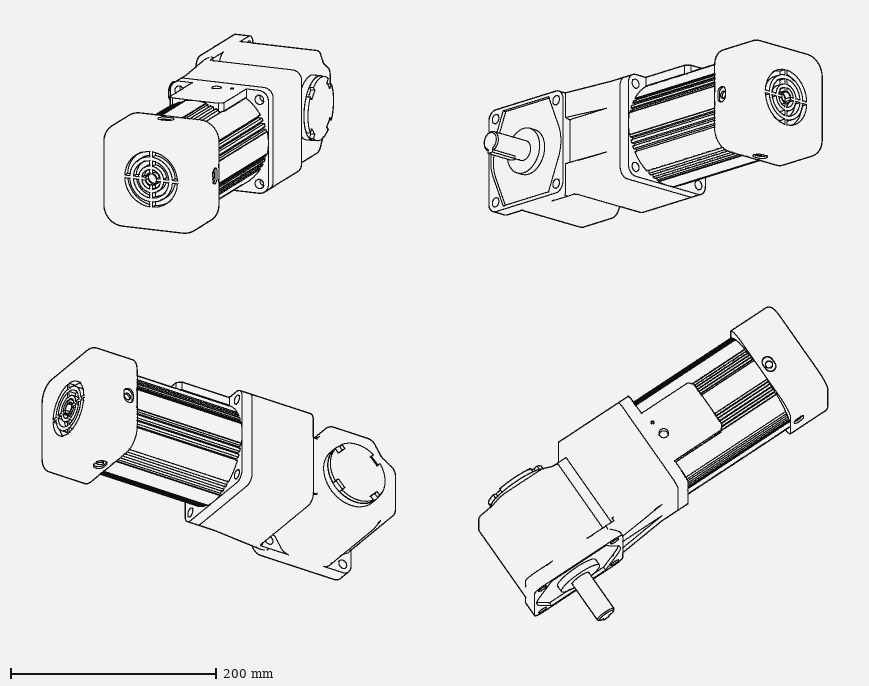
import cadquery as cq
import math


overall_length = 354.0
frame_width = 104.0
frame_half = frame_width / 2
frame_corner_radius = 10.0
screw_offset = 42.5
screw_hole_radius = 4.5

flange_face_x = -61.0
flange_back_x = -45.3
head_rear_x = 37.5
head_edge_fillet = 2.5
head_scoop_start = (33.5, 39.3)
web_half_height = 32.0
block_end_y = -123.2
gusset_end_y = -104.0
gusset_start_x = -57.5
gusset_inner_z = 23.7
gusset_foot_z = 22.3
block_edge_fillet = 1.8
face_recess_depth = 3.5
boss_radius = 22.5
boss_face_x = -64.0
rear_cap_radius = 32.0
rear_cap_step_radius = 31.5
rear_cap_step_x = 45.0
rear_cap_end_x = 49.2
cap_notch_width = 10.5
cap_notch_depth = 5.3
cap_notch_turn = 45

shaft_radius = 10.0
shaft_tip_x = -109.0
shaft_seat_x = flange_back_x
shaft_chamfer = 1.5
key_width = 6.5
key_reach = 12.0
key_end_x = -76.8
key_end_fillet = 3.0

motor_flange_end_y = -135.0
barrel_radius = 51.5
barrel_end_y = -255.5
plate_half_width = 28.5
plate_thickness = 9.0
plate_end_y = -193.5
plate_chamfer = 4.2
cable_hole_radius = 4.5
cable_hole_y = -141.5
pin_hole_radius = 1.5
pin_hole_x = 15.2
pin_hole_y = -138.8
pin_hole_depth = 3.5
groove_offsets = (15.0, 20.5, 26.0)
groove_width = 3.0
groove_depth = 2.0
land_radius = frame_half
land_half_width = 11.5

cover_end_y = frame_half - overall_length
cover_corner_radius = 20.2
cover_edge_fillet = 5.3
grille_rings = ((6.5, 10.0), (13.5, 18.8), (22.5, 28.0))
grille_spoke_width = 3.0
grille_depth = 7.0
hub_recess_radius = 5.5
screw_recess_y = -265.5
screw_recess_length = 15.5
screw_recess_width = 10.5
screw_recess_depth = 2.0
screw_socket_radius = 3.5
screw_socket_depth = 4.2

side_angles = (0, 90, 180, 270)


def box(x_range, y_range, z_range):
    """Rectangular block between the given limits."""
    size = [high - low for low, high in (x_range, y_range, z_range)]
    return cq.Workplane("XY").box(*size, centered=False).translate((x_range[0], y_range[0], z_range[0]))


def x_cylinder(radius, x_start, x_end, y=0, z=0):
    """Round bar along X."""
    return cq.Workplane("YZ", origin=(x_start, y, z)).circle(radius).extrude(x_end - x_start)


def y_plane(y):
    """Workplane facing -Y: its local x is X and its local y is Z."""
    return cq.Workplane("XZ", origin=(0, y, 0))


def square_length(y_start, y_end, corner_radius):
    """Length of the square frame along Y with rounded long edges."""
    bar = y_plane(y_start).rect(frame_width, frame_width).extrude(y_start - y_end)
    return bar.edges("|Y").fillet(corner_radius)


def screw_points():
    """Corner screw positions on the square frame."""
    return [(u, v) for u in (-screw_offset, screw_offset) for v in (-screw_offset, screw_offset)]


def output_flange():
    """Square plate with rounded corners."""
    plate = cq.Workplane("YZ", origin=(flange_face_x, 0, 0)).rect(frame_width, frame_width)
    return plate.extrude(flange_back_x - flange_face_x).edges("|X").fillet(frame_corner_radius)


def gear_head():
    """Cross-shaped prism behind the flange, scooped at its corners to clear the flange screws."""
    flat_end = (20.2, frame_half)
    shoulder_mid = (26.0, 50.0)
    shoulder_end = (29.7, 45.0)
    scoop_radius = math.dist(head_scoop_start, (screw_offset, screw_offset))
    scoop_depth = screw_offset - scoop_radius / math.sqrt(2)

    def place(point, sign_y, sign_z):
        return sign_y * point[0], sign_z * point[1]

    def swap(point):
        return point[1], point[0]

    corner = [
        flat_end, shoulder_mid, shoulder_end, head_scoop_start, (scoop_depth, scoop_depth),
        swap(head_scoop_start), swap(shoulder_end), swap(shoulder_mid), swap(flat_end),
    ]
    profile = cq.Workplane("YZ", origin=(flange_back_x, 0, 0)).moveTo(*flat_end)
    for sign_y, sign_z in ((1, 1), (1, -1), (-1, -1), (-1, 1)):
        ordered = corner if sign_y == sign_z else corner[::-1]
        points = [place(point, sign_y, sign_z) for point in ordered]
        if (sign_y, sign_z) != (1, 1):
            profile = profile.lineTo(*points[0])
        profile = profile.threePointArc(points[1], points[2]).lineTo(*points[3])
        profile = profile.threePointArc(points[4], points[5]).lineTo(*points[6])
        profile = profile.threePointArc(points[7], points[8])
    head = profile.close().extrude(head_rear_x - flange_back_x)
    return head.faces(">X").edges().fillet(head_edge_fillet)


def gussets():
    """Two tapered ribs running from the flange corners down to the face of the square block."""
    slope = (-frame_half - gusset_start_x) / (-frame_half - gusset_end_y)
    root_y = -screw_offset
    inner_x = frame_corner_radius - frame_half
    root_x = gusset_start_x - slope * (root_y + frame_half)
    outline = [
        (flange_back_x, root_y),
        (root_x, root_y),
        (-frame_half, gusset_end_y),
        (inner_x, gusset_end_y),
        (inner_x, -frame_half),
        (flange_back_x, -frame_half),
    ]
    wedge = cq.Workplane("XY").polyline(outline).close().extrude(frame_half, both=True)
    wedge = wedge.faces("<X").edges("not |Z").fillet(frame_corner_radius)

    channel_section = [
        (0, -gusset_foot_z),
        (-frame_half, -gusset_foot_z),
        (root_x, -gusset_inner_z),
        (root_x, gusset_inner_z),
        (-frame_half, gusset_foot_z),
        (0, gusset_foot_z),
    ]
    channel = y_plane(root_y).polyline(channel_section).close().extrude(root_y - gusset_end_y)
    return wedge.cut(channel)


def square_block():
    """Square block between the gear head and the motor, with a small round on its front edge."""
    block = square_length(-frame_half, block_end_y, frame_corner_radius)
    return block.faces(">Y").edges().fillet(block_edge_fillet)


def block_web():
    """Web filling the gap between the gear head's scooped corners and the square block."""
    return box(
        (flange_back_x, head_rear_x),
        (-frame_half - block_edge_fillet, -head_scoop_start[1]),
        (-web_half_height, web_half_height),
    )


def face_recess():
    """Shallow barrel-shaped recess in the flange face."""
    corner = (32.0, 48.5)
    arc_end = (46.5, 15.0)
    bulge = 49.2
    profile = (
        cq.Workplane("YZ", origin=(flange_face_x, 0, 0))
        .moveTo(-corner[0], corner[1])
        .lineTo(*corner)
        .lineTo(*arc_end)
        .threePointArc((bulge, 0), (arc_end[0], -arc_end[1]))
        .lineTo(corner[0], -corner[1])
        .lineTo(-corner[0], -corner[1])
        .lineTo(-arc_end[0], -arc_end[1])
        .threePointArc((-bulge, 0), (-arc_end[0], arc_end[1]))
        .close()
    )
    return profile.extrude(face_recess_depth)


def rear_cap():
    """Stepped round cap on the rear of the gearbox, with four spanner notches in its rim."""
    cap = x_cylinder(rear_cap_radius, head_rear_x, rear_cap_step_x)
    cap = cap.union(x_cylinder(rear_cap_step_radius, rear_cap_step_x, rear_cap_end_x))
    notch = box(
        (rear_cap_step_x, rear_cap_end_x),
        (rear_cap_step_radius - cap_notch_depth, rear_cap_radius),
        (-cap_notch_width / 2, cap_notch_width / 2),
    )
    for angle in side_angles:
        cap = cap.cut(notch.rotate((0, 0, 0), (1, 0, 0), angle + cap_notch_turn))
    return cap


def build_gearbox():
    body = output_flange().cut(face_recess())
    body = body.union(gear_head())
    body = body.union(square_block()).union(block_web())
    body = body.union(gussets())
    body = body.union(x_cylinder(boss_radius, boss_face_x, flange_back_x))
    body = body.union(rear_cap())
    for y, z in screw_points():
        body = body.cut(x_cylinder(screw_hole_radius, flange_face_x, flange_back_x, y, z))
    return body.cut(x_cylinder(shaft_radius, boss_face_x, shaft_seat_x))


def build_shaft():
    shaft = x_cylinder(shaft_radius, shaft_tip_x, shaft_seat_x).faces("<X").chamfer(shaft_chamfer)
    key = box((shaft_tip_x, key_end_x), (-key_width / 2, key_width / 2), (-key_reach, 0))
    key = key.edges("|Z and >X").fillet(key_end_fillet)
    return shaft.union(key)


def cooling_groove(offset):
    """Groove along the top of the barrel, cut to a fixed depth below the round surface."""
    outer_edge = abs(offset) + groove_width / 2
    floor = math.sqrt(barrel_radius**2 - outer_edge**2) - groove_depth
    return box(
        (offset - groove_width / 2, offset + groove_width / 2),
        (barrel_end_y, motor_flange_end_y),
        (floor, barrel_radius),
    )


def barrel():
    """Round barrel; each of its four sides has a raised land between two groups of grooves."""
    length = motor_flange_end_y - barrel_end_y
    body = y_plane(motor_flange_end_y).circle(barrel_radius).extrude(length)
    land_stock = y_plane(motor_flange_end_y).circle(land_radius).extrude(length)
    land = land_stock.intersect(
        box((-land_half_width, land_half_width), (barrel_end_y, motor_flange_end_y), (0, land_radius))
    )
    for angle in side_angles:
        body = body.union(land.rotate((0, 0, 0), (0, 1, 0), angle))
        for offset in groove_offsets:
            for side in (-1, 1):
                body = body.cut(cooling_groove(side * offset).rotate((0, 0, 0), (0, 1, 0), angle))
    return body


def terminal_plate():
    """Flat plate flush with the top of the flange, carrying the cable hole and a pin hole."""
    plate = box(
        (-plate_half_width, plate_half_width),
        (plate_end_y, motor_flange_end_y),
        (frame_half - plate_thickness, frame_half),
    )
    return plate.edges("|Z and <Y").chamfer(plate_chamfer)


def down_hole(x, y, radius, depth):
    """Round hole tool going down from the top of the frame."""
    return cq.Workplane("XY", origin=(x, y, frame_half)).circle(radius).extrude(-depth)


def build_motor():
    body = square_length(block_end_y, motor_flange_end_y, frame_corner_radius)
    screw_holes = y_plane(block_end_y).pushPoints(screw_points()).circle(screw_hole_radius)
    body = body.cut(screw_holes.extrude(block_end_y - motor_flange_end_y))
    body = body.union(barrel()).union(terminal_plate())
    body = body.cut(down_hole(0, cable_hole_y, cable_hole_radius, plate_thickness))
    return body.cut(down_hole(pin_hole_x, pin_hole_y, pin_hole_radius, pin_hole_depth))


def grille():
    """Ring grooves split by four spokes, around a small hub recess."""
    start_y = cover_end_y + grille_depth
    rings = y_plane(start_y).circle(hub_recess_radius).extrude(grille_depth)
    half_spoke = grille_spoke_width / 2
    for inner, outer in grille_rings:
        ring = y_plane(start_y).circle(outer).circle(inner).extrude(grille_depth)
        ring = ring.cut(box((-outer, outer), (cover_end_y, start_y), (-half_spoke, half_spoke)))
        ring = ring.cut(box((-half_spoke, half_spoke), (cover_end_y, start_y), (-outer, outer)))
        rings = rings.union(ring)
    return rings


def screw_recess():
    """Oval recess with a deeper round socket in the top side."""
    plane = cq.Workplane("XY", origin=(0, screw_recess_y, frame_half))
    oval = plane.slot2D(screw_recess_length, screw_recess_width).extrude(-screw_recess_depth)
    return oval.union(down_hole(0, screw_recess_y, screw_socket_radius, screw_socket_depth))


def build_fan_cover():
    cover = square_length(barrel_end_y, cover_end_y, cover_corner_radius)
    cover = cover.faces("<Y").edges().fillet(cover_edge_fillet).cut(grille())
    for angle in side_angles:
        cover = cover.cut(screw_recess().rotate((0, 0, 0), (0, 1, 0), angle))
    return cover


gearbox = build_gearbox()
output_shaft = build_shaft()
motor = build_motor()
fan_cover = build_fan_cover()

bodies = [gearbox, output_shaft, motor, fan_cover]
result = cq.Compound.makeCompound([body.solids().val() for body in bodies])